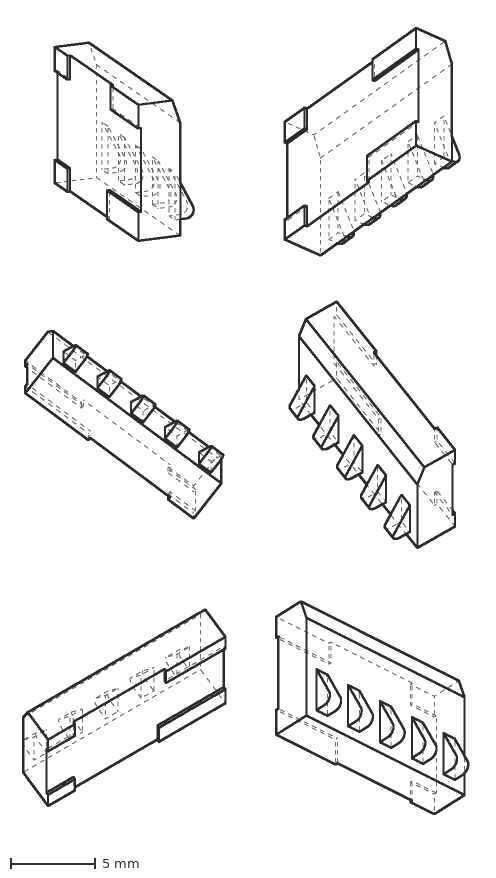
import cadquery as cq
import math

length = 12.62
depth = 3.92
height = 8.48

body_depth = 2.71
foot_thickness = 0.18
bevel_depth = 0.5
bevel_height = 1.45

left_foot_width = 1.92
top_foot_height = 1.49
bottom_left_foot_height = 1.44
top_right_foot_width = 4.22
bottom_right_foot_width = 4.73
bottom_right_foot_height = 1.79

hook_count = 5
hook_pitch = 2.54
hook_width = 0.9
hook_bottom = 0.75
hook_top = 3.7
hook_slope = math.radians(62.5)


def make_body():
    """Plate with a bevel along its top back edge."""
    profile = [
        (foot_thickness, 0),
        (body_depth, 0),
        (body_depth, height - bevel_height),
        (body_depth - bevel_depth, height),
        (foot_thickness, height),
    ]
    return cq.Workplane("YZ").polyline(profile).close().extrude(length / 2, both=True)


def make_foot(width, foot_height, on_right, on_top):
    """Thin rectangular pad flush with one corner of the front face."""
    x = length / 2 - width if on_right else -length / 2
    z = height - foot_height if on_top else 0
    pad = cq.Workplane("XY").box(width, foot_thickness, foot_height, centered=False)
    return pad.translate((x, 0, z))


def make_hook(x):
    """Triangular wedge with a flat underside and a rounded tip."""
    sharp_reach = (hook_top - hook_bottom) / math.tan(hook_slope)
    tip_radius = (body_depth + sharp_reach - depth) / (1 / math.tan(hook_slope / 2) - 1)
    profile = [
        (body_depth, hook_bottom),
        (body_depth + sharp_reach, hook_bottom),
        (body_depth, hook_top),
    ]
    wedge = cq.Workplane("YZ").polyline(profile).close().extrude(hook_width / 2, both=True)
    return wedge.edges("|X and >Y").fillet(tip_radius).translate((x, 0, 0))


result = make_body()

result = result.union(make_foot(left_foot_width, top_foot_height, on_right=False, on_top=True))
result = result.union(make_foot(left_foot_width, bottom_left_foot_height, on_right=False, on_top=False))
result = result.union(make_foot(top_right_foot_width, top_foot_height, on_right=True, on_top=True))
result = result.union(
    make_foot(bottom_right_foot_width, bottom_right_foot_height, on_right=True, on_top=False)
)

for index in range(hook_count):
    result = result.union(make_hook((index - (hook_count - 1) / 2) * hook_pitch))